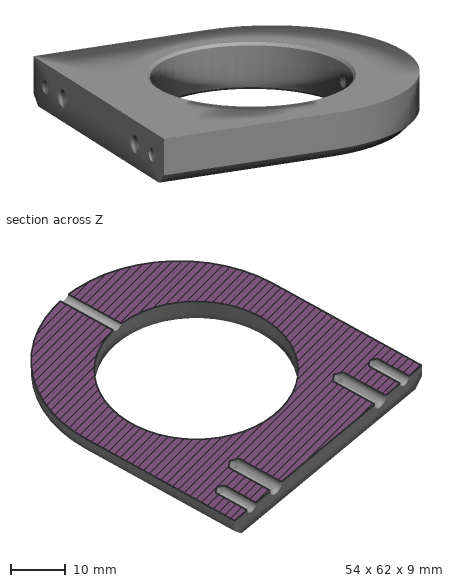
import cadquery as cq
import math

width = 54.0
length = 62.0
thickness = 9.0
end_radius = width / 2
end_center_y = length - end_radius
bottom_chamfer = 2.0

bore_diameter = 37.0
bore_center_y = 31.0
bore_chamfer = 0.5

mid_height = thickness / 2
pin_diameter = 2.5
pin_offset = 22.0
pin_depth = 7.45
bolt_diameter = 3.0
bolt_offset = 15.0
bolt_depth = 9.9
bolt_chamfer = 0.25

side_hole_diameter = 2.1
side_hole_y = 18.05
side_hole_height = 6.0
side_hole_depth = 6.2

radial_hole_diameter = 2.5
radial_hole_height = 5.0

drill_point_angle = 118.0


def make_plate():
    """D-shaped plate with its bottom edge chamfered along the sides and round end."""
    plate = (
        cq.Workplane("XY")
        .moveTo(-end_radius, 0)
        .lineTo(end_radius, 0)
        .lineTo(end_radius, end_center_y)
        .threePointArc((0, length), (-end_radius, end_center_y))
        .close()
        .extrude(thickness)
    )
    rim = plate.faces("<Z").edges("not(<Y)")
    return rim.chamfer(bottom_chamfer)


def make_bore():
    """Through bore, chamfered at both rims."""
    radius = bore_diameter / 2
    return (
        cq.Workplane("XZ")
        .moveTo(0, 0)
        .lineTo(radius + bore_chamfer, 0)
        .lineTo(radius, bore_chamfer)
        .lineTo(radius, thickness - bore_chamfer)
        .lineTo(radius + bore_chamfer, thickness)
        .lineTo(0, thickness)
        .close()
        .revolve(360, (0, 0), (0, 1))
        .translate((0, bore_center_y, 0))
    )


def drilled_hole(diameter, depth, mouth_chamfer=0.0):
    """Blind hole along +Y from the origin, with a conical drill point."""
    radius = diameter / 2
    point_length = radius / math.tan(math.radians(drill_point_angle / 2))
    outline = cq.Workplane("XY").moveTo(0, 0).lineTo(radius + mouth_chamfer, 0)
    if mouth_chamfer > 0:
        outline = outline.lineTo(radius, mouth_chamfer)
    return (
        outline.lineTo(radius, depth)
        .lineTo(0, depth + point_length)
        .close()
        .revolve(360, (0, 0), (0, 1))
    )


def make_side_hole():
    """Drilled hole turned to run along +X from the left side."""
    hole = drilled_hole(side_hole_diameter, side_hole_depth)
    hole = hole.rotate((0, 0, 0), (0, 0, 1), -90)
    return hole.translate((-width / 2, side_hole_y, side_hole_height))


def make_radial_hole():
    """Cross hole along Y from the bore axis out through the round end."""
    return (
        cq.Workplane("XZ", origin=(0, bore_center_y, radial_hole_height))
        .circle(radial_hole_diameter / 2)
        .extrude(-(length - bore_center_y))
    )


result = make_plate().cut(make_bore())
pin_hole = drilled_hole(pin_diameter, pin_depth)
bolt_hole = drilled_hole(bolt_diameter, bolt_depth, bolt_chamfer)
for side in (-1, 1):
    result = result.cut(pin_hole.translate((side * pin_offset, 0, mid_height)))
    result = result.cut(bolt_hole.translate((side * bolt_offset, 0, mid_height)))
result = result.cut(make_side_hole())
result = result.cut(make_radial_hole())